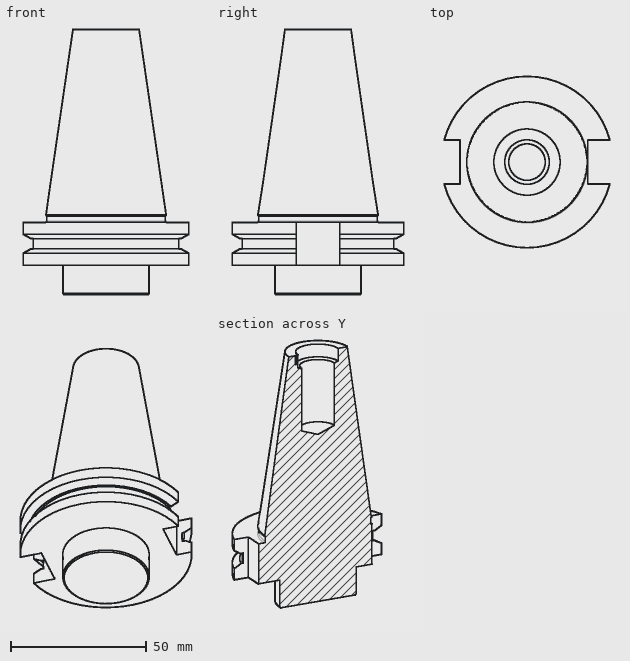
import cadquery as cq
import math

TOP_Z = 68.25
GAUGE_DIAMETER = 44.45
TAPER_RATIO = 7 / 24

TAPER_BOTTOM_Z = -0.4
NECK_DIAMETER = 44.0
NECK_CHAMFER_HEIGHT = 0.5
NECK_FILLET = 0.5

FLANGE_DIAMETER = 63.5
FLANGE_TOP_Z = -3.15
FLANGE_BOTTOM_Z = -19.05
GROOVE_CENTER_Z = -11.1
GROOVE_MOUTH_WIDTH = 7.0
GROOVE_FLOOR_WIDTH = 3.85
GROOVE_FLANK_ANGLE = 30.0
GROOVE_FLOOR_DIAMETER = 56.3

SLOT_WIDTH = 16.2
SLOT_FLOOR_MINUS_X = 24.8
SLOT_FLOOR_PLUS_X = 22.5

NOSE_DIAMETER = 32.0
NOSE_BOTTOM_Z = -30.0
NOSE_CHAMFER = 0.5

COUNTERBORE_DIAMETER = 16.48
COUNTERBORE_DEPTH = 5.0
BORE_DIAMETER = 13.5
BORE_DEPTH = 30.0
DRILL_POINT_ANGLE = 140.0


def revolve_outline(outline):
    """Revolve a closed (radius, height) outline around the Z axis."""
    return outline.revolve(360, (0, 0, 0), (0, 1, 0))


def revolve_profile(points):
    return revolve_outline(cq.Workplane("XZ").polyline(points).close())


def taper_radius(z):
    return (GAUGE_DIAMETER - z * TAPER_RATIO) / 2


def make_body():
    neck_radius = NECK_DIAMETER / 2
    neck_top_z = TAPER_BOTTOM_Z - NECK_CHAMFER_HEIGHT
    flange_radius = FLANGE_DIAMETER / 2
    nose_radius = NOSE_DIAMETER / 2
    outline = (
        cq.Workplane("XZ")
        .moveTo(0, TOP_Z)
        .lineTo(taper_radius(TOP_Z), TOP_Z)
        .lineTo(taper_radius(TAPER_BOTTOM_Z), TAPER_BOTTOM_Z)
        .lineTo(neck_radius, neck_top_z)
        .lineTo(neck_radius, FLANGE_TOP_Z + NECK_FILLET)
        .radiusArc((neck_radius + NECK_FILLET, FLANGE_TOP_Z), -NECK_FILLET)
        .lineTo(flange_radius, FLANGE_TOP_Z)
        .lineTo(flange_radius, FLANGE_BOTTOM_Z)
        .lineTo(nose_radius, FLANGE_BOTTOM_Z)
        .lineTo(nose_radius, NOSE_BOTTOM_Z + NOSE_CHAMFER)
        .lineTo(nose_radius - NOSE_CHAMFER, NOSE_BOTTOM_Z)
        .lineTo(0, NOSE_BOTTOM_Z)
        .close()
    )
    return revolve_outline(outline)


def make_groove():
    """Ring with sloping flanks outside and a narrow straight-sided floor inside."""
    flange_radius = FLANGE_DIAMETER / 2
    floor_radius = GROOVE_FLOOR_DIAMETER / 2
    half_mouth = GROOVE_MOUTH_WIDTH / 2
    half_floor = GROOVE_FLOOR_WIDTH / 2
    flank_run = (half_mouth - half_floor) / math.tan(math.radians(GROOVE_FLANK_ANGLE))
    flank_inner_radius = flange_radius - flank_run
    return revolve_profile([
        (flange_radius, GROOVE_CENTER_Z + half_mouth),
        (flank_inner_radius, GROOVE_CENTER_Z + half_floor),
        (floor_radius, GROOVE_CENTER_Z + half_floor),
        (floor_radius, GROOVE_CENTER_Z - half_floor),
        (flank_inner_radius, GROOVE_CENTER_Z - half_floor),
        (flange_radius, GROOVE_CENTER_Z - half_mouth),
    ])


def make_drive_slot(side, floor_distance):
    """Box that opens the flange on the +X side (side = 1) or the -X side (side = -1)."""
    length = FLANGE_DIAMETER / 2
    height = FLANGE_TOP_Z - FLANGE_BOTTOM_Z
    center_x = side * (floor_distance + length / 2)
    center_z = (FLANGE_TOP_Z + FLANGE_BOTTOM_Z) / 2
    return cq.Workplane("XY").box(length, SLOT_WIDTH, height).translate((center_x, 0, center_z))


def make_bore():
    counterbore_radius = COUNTERBORE_DIAMETER / 2
    bore_radius = BORE_DIAMETER / 2
    counterbore_z = TOP_Z - COUNTERBORE_DEPTH
    bore_end_z = TOP_Z - BORE_DEPTH
    cone_slope = 1 / math.tan(math.radians(DRILL_POINT_ANGLE / 2))
    step_drop = (counterbore_radius - bore_radius) * cone_slope
    point_depth = bore_radius * cone_slope
    return revolve_profile([
        (0, TOP_Z),
        (counterbore_radius, TOP_Z),
        (counterbore_radius, counterbore_z),
        (bore_radius, counterbore_z - step_drop),
        (bore_radius, bore_end_z),
        (0, bore_end_z - point_depth),
    ])


result = make_body().cut(make_groove())
result = result.cut(make_drive_slot(-1, SLOT_FLOOR_MINUS_X))
result = result.cut(make_drive_slot(1, SLOT_FLOOR_PLUS_X))
result = result.cut(make_bore())